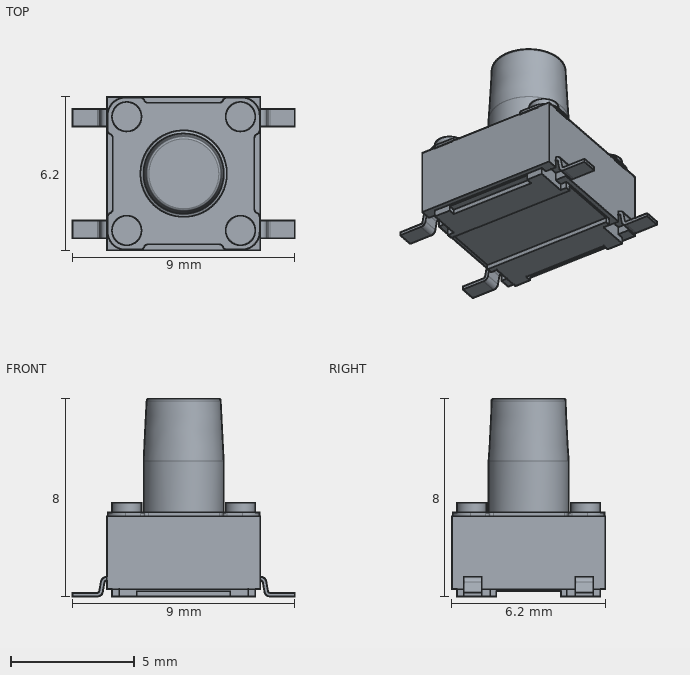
import cadquery as cq
import math


overall_length = 9.0
body_width = 6.2
overall_height = 8.0

body_bottom = 0.3
body_top = 3.25
cover_top = 3.4
peg_top = 3.8
taper_start = 5.5

plunger_diameter = 3.25
plunger_top_diameter = 3.0
plunger_top_fillet = 0.09
plunger_foot_fillet = 0.11
cover_hole_diameter = 3.5
peg_diameter = 1.2
peg_spacing = 4.6

cover_width = 6.14
cover_corner_radius = 0.7
cover_recess_length = 2.88
cover_recess_depth = 0.21
cover_recess_run = 0.31

base_width = 5.8
foot_recess_depth = 0.29
foot_recess_length = 3.78
corner_cut_start = 1.55
channel_width = 2.61
channel_height = 0.22

terminal_width = 0.72
terminal_pitch = 4.51
terminal_thickness = 0.15
terminal_top = 0.8
terminal_bend_angle = 80.0
lower_bend_inner_radius = 0.07
upper_bend_inner_radius = 0.1

body_half = body_width / 2
cover_half = cover_width / 2
base_half = base_width / 2


def block(x_min, x_max, y_min, y_max, z_min, z_max):
    """Axis-aligned box given by its limits."""
    size = (x_max - x_min, y_max - y_min, z_max - z_min)
    return cq.Workplane("XY").box(*size, centered=False).translate((x_min, y_min, z_min))


def at_four_corners(solid):
    """The solid together with its mirror images across the XZ and YZ planes."""
    pair = solid.union(solid.mirror("XZ"))
    return pair.union(pair.mirror("YZ"))


def make_cover_recess():
    """Shallow edge recess on the +Y side of the cover, entered by S-shaped ends made of two arcs."""
    inner_half = cover_recess_length / 2
    outer_half = inner_half + cover_recess_run
    middle_x = (inner_half + outer_half) / 2
    inner_y = cover_half - cover_recess_depth
    middle_y = cover_half - cover_recess_depth / 2
    right_half = (
        cq.Workplane("XY", origin=(0, 0, body_top))
        .moveTo(0, inner_y)
        .lineTo(inner_half, inner_y)
        .tangentArcPoint((middle_x, middle_y), relative=False)
        .tangentArcPoint((outer_half, cover_half), relative=False)
        .lineTo(0, cover_half)
        .close()
        .extrude(cover_top - body_top)
    )
    return right_half.union(right_half.mirror("YZ"))


def make_cover():
    """Thin plate with rounded corners, a recess in each edge and a plunger hole."""
    thickness = cover_top - body_top
    cover = (
        cq.Workplane("XY", origin=(0, 0, body_top))
        .rect(cover_width, cover_width)
        .extrude(thickness)
        .edges("|Z")
        .fillet(cover_corner_radius)
    )
    recess = make_cover_recess()
    for quarter_turn in range(4):
        cover = cover.cut(recess.rotate((0, 0, 0), (0, 0, 1), 90 * quarter_turn))
    return cover.faces(">Z").workplane().circle(cover_hole_diameter / 2).cutThruAll()


def make_pegs():
    """Four round pegs near the cover corners."""
    return (
        cq.Workplane("XY", origin=(0, 0, body_top))
        .rect(peg_spacing, peg_spacing, forConstruction=True)
        .vertices()
        .circle(peg_diameter / 2)
        .extrude(peg_top - body_top)
    )


def make_plunger():
    """Revolved plunger: flared foot, straight shank, tapered and rounded tip."""
    radius = plunger_diameter / 2
    foot_middle = plunger_foot_fillet * (1 - math.sqrt(0.5))
    plunger = (
        cq.Workplane("XZ")
        .moveTo(0, body_top)
        .lineTo(radius + plunger_foot_fillet, body_top)
        .threePointArc(
            (radius + foot_middle, body_top + foot_middle),
            (radius, body_top + plunger_foot_fillet),
        )
        .lineTo(radius, taper_start)
        .lineTo(plunger_top_diameter / 2, overall_height)
        .lineTo(0, overall_height)
        .close()
        .revolve(360, (0, 0, 0), (0, 1, 0))
    )
    return plunger.faces(">Z").edges().fillet(plunger_top_fillet)


def make_base():
    """Stand-off below the housing, cut to leave feet at its corners."""
    inner_half = base_half - foot_recess_depth
    recess_half = foot_recess_length / 2
    base = block(-base_half, base_half, -base_half, base_half, 0, body_bottom)
    base = base.cut(block(-base_half, base_half, -channel_width / 2, channel_width / 2, 0, channel_height))

    edge_recess = block(-recess_half, recess_half, inner_half, base_half, 0, channel_height)
    corner_cut = block(inner_half, base_half, corner_cut_start, base_half, 0, body_bottom)
    cuts = edge_recess.union(corner_cut).union(corner_cut.mirror("YZ"))
    return base.cut(cuts).cut(cuts.mirror("XZ"))


def make_terminal():
    """Gull-wing strip on the +X, +Y side, swept along its centre line from the tip to the housing."""
    angle = math.radians(terminal_bend_angle)
    half_angle = angle / 2
    half_thickness = terminal_thickness / 2
    lower_radius = lower_bend_inner_radius + half_thickness
    upper_radius = upper_bend_inner_radius + half_thickness
    foot_z = half_thickness
    top_z = terminal_top - half_thickness

    bends_rise = (lower_radius + upper_radius) * (1 - math.cos(angle))
    slope_length = (top_z - foot_z - bends_rise) / math.sin(angle)
    run = (lower_radius + upper_radius) * math.sin(angle) + slope_length * math.cos(angle)
    bend_start = body_half + run

    def lower_point(turn):
        return bend_start - lower_radius * math.sin(turn), foot_z + lower_radius * (1 - math.cos(turn))

    def upper_point(turn):
        return body_half + upper_radius * math.sin(turn), top_z - upper_radius * (1 - math.cos(turn))

    centre_line = (
        cq.Workplane("XZ")
        .moveTo(overall_length / 2, foot_z)
        .lineTo(bend_start, foot_z)
        .threePointArc(lower_point(half_angle), lower_point(angle))
        .lineTo(*upper_point(angle))
        .threePointArc(upper_point(half_angle), (body_half, top_z))
    )
    strip = (
        cq.Workplane("YZ", origin=(overall_length / 2, 0, foot_z))
        .rect(terminal_width, terminal_thickness)
        .sweep(centre_line)
    )
    return strip.translate((0, terminal_pitch / 2, 0))


def make_body():
    """Square housing with a pocket in its lower edge beneath each terminal."""
    body = block(-body_half, body_half, -body_half, body_half, body_bottom, body_top)
    pocket_floor = base_half - foot_recess_depth
    pocket_top = terminal_top - terminal_thickness
    y_min = (terminal_pitch - terminal_width) / 2
    y_max = (terminal_pitch + terminal_width) / 2
    pocket = block(pocket_floor, body_half, y_min, y_max, body_bottom, pocket_top)
    return body.cut(at_four_corners(pocket))


result = (
    make_body()
    .union(make_base())
    .union(make_cover())
    .union(make_pegs())
    .union(make_plunger())
    .union(at_four_corners(make_terminal()))
)